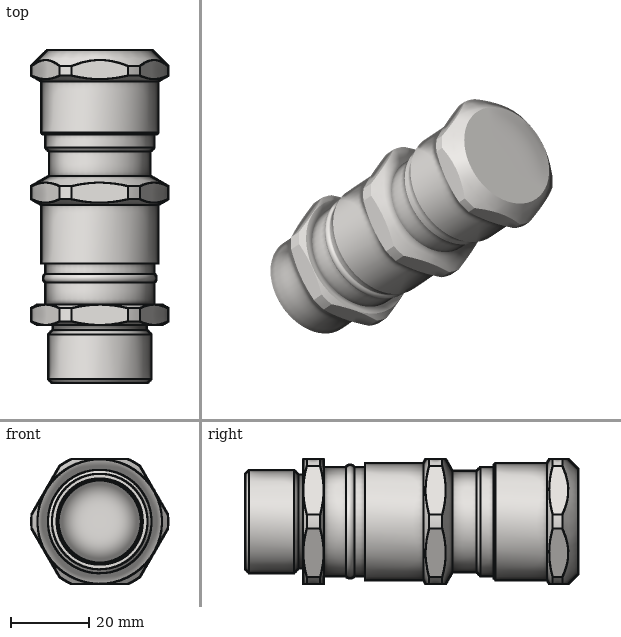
import cadquery as cq
import math

length = 85.0

nut_flats = 32.0
nut_corner_radius = 17.5
sleeve_radius = 30.0 / 2
collar_radius = 28.0 / 2
neck_radius = 26.0 / 2
thread_radius = 26.4 / 2
relief_radius = 24.05 / 2

thread_chamfer = 1.0
thread_shoulder = 13.6
thread_runout = thread_radius - relief_radius

entry_nut_start = 14.8
entry_nut_end = 20.1
entry_nut_face_radius = 15.9

ring_center = 26.8
ring_section_radius = 1.4
ring_outer_radius = 14.5

middle_sleeve_start = 30.5
middle_nut_start = 45.5
middle_nut_end = 52.9

collar_start = 59.1
cap_sleeve_start = 63.4
cap_sleeve_chamfer = 0.5

cap_nut_start = 77.0
cap_face_radius = 13.4

bore_radius = 21.0 / 2
bore_depth = 12.75
bore_chamfer = 0.5

nut_slope = math.tan(math.radians(30))


def revolve_profile(points):
    """Revolve a closed (radius, Y) outline about the Y axis."""
    return cq.Workplane("XY").polyline(points).close().revolve(360, (0, 0), (0, 1))


def hex_nut(start, end, start_radius, end_radius, end_slope=nut_slope):
    """Hexagon with corners along X, turned down to a cone at each end."""
    hexagon = (
        cq.Workplane("XZ", origin=(0, start, 0))
        .polygon(6, nut_flats / math.cos(math.radians(30)))
        .extrude(start - end)
    )
    start_rise = (nut_corner_radius - start_radius) * nut_slope
    end_rise = (nut_corner_radius - end_radius) * end_slope
    envelope = revolve_profile([
        (0, start),
        (start_radius, start),
        (nut_corner_radius, start + start_rise),
        (nut_corner_radius, end - end_rise),
        (end_radius, end),
        (0, end),
    ])
    return hexagon.intersect(envelope)


def turned_body():
    """Turned core running from the thread end into the cap nut."""
    return revolve_profile([
        (0, 0),
        (thread_radius - thread_chamfer, 0),
        (thread_radius, thread_chamfer),
        (thread_radius, thread_shoulder - thread_runout),
        (relief_radius, thread_shoulder),
        (relief_radius, entry_nut_start),
        (collar_radius, entry_nut_start),
        (collar_radius, middle_sleeve_start),
        (sleeve_radius, middle_sleeve_start),
        (sleeve_radius, middle_nut_start),
        (neck_radius, middle_nut_start),
        (neck_radius, collar_start),
        (collar_radius, collar_start + collar_radius - neck_radius),
        (collar_radius, cap_sleeve_start),
        (sleeve_radius - cap_sleeve_chamfer, cap_sleeve_start),
        (sleeve_radius, cap_sleeve_start + cap_sleeve_chamfer),
        (sleeve_radius, cap_nut_start),
        (0, cap_nut_start),
    ])


def sealing_ring():
    """O-ring seated in the entry collar."""
    center_radius = ring_outer_radius - ring_section_radius
    section = (
        cq.Workplane("XY")
        .moveTo(center_radius, ring_center - ring_section_radius)
        .threePointArc(
            (ring_outer_radius, ring_center),
            (center_radius, ring_center + ring_section_radius),
        )
        .close()
    )
    return section.revolve(360, (0, 0), (0, 1))


def bore():
    """Blind bore with a chamfered mouth at the thread end."""
    return revolve_profile([
        (0, 0),
        (bore_radius + bore_chamfer, 0),
        (bore_radius, bore_chamfer),
        (bore_radius, bore_depth),
        (0, bore_depth),
    ])


entry_nut = hex_nut(entry_nut_start, entry_nut_end, entry_nut_face_radius, entry_nut_face_radius)
middle_nut = hex_nut(middle_nut_start, middle_nut_end, sleeve_radius, neck_radius)
cap_nut = hex_nut(cap_nut_start, length, sleeve_radius, cap_face_radius, end_slope=1.0)

result = turned_body()
for piece in (entry_nut, middle_nut, cap_nut, sealing_ring()):
    result = result.union(piece)
result = result.cut(bore())